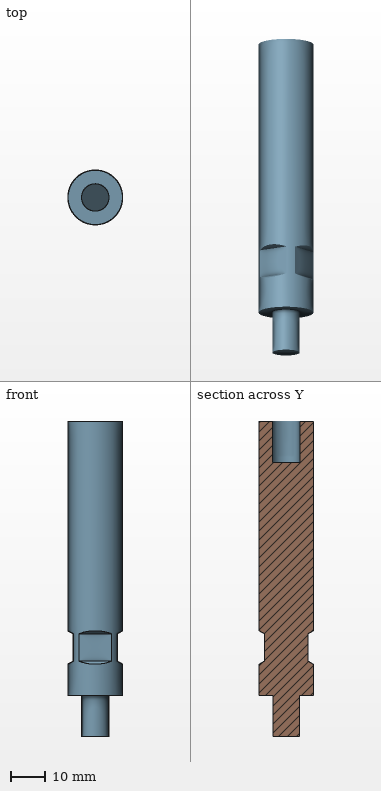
import cadquery as cq
import math

total_length = 92.0
body_diameter = 16.0
stud_diameter = 8.0
stud_length = 12.0
across_flats = 13.0
flat_height = 8.0
collar_height = 10.0
bevel_angle = 30.0

body_radius = body_diameter / 2
body_length = total_length - stud_length
bore_diameter = stud_diameter
bore_depth = stud_length
flat_offset = across_flats / 2
flat_bottom = stud_length + collar_height
flat_top = flat_bottom + flat_height


def make_stud():
    return cq.Workplane("XY").circle(stud_diameter / 2).extrude(stud_length)


def make_body():
    return (
        cq.Workplane("XY")
        .workplane(offset=stud_length)
        .circle(body_radius)
        .extrude(body_length)
        .faces(">Z")
        .workplane()
        .hole(bore_diameter, bore_depth)
    )


def make_flat_cutter():
    """Trapezoidal bar along Y that cuts one flat with sloped ends on the +X side."""
    outer_x = body_diameter
    bevel_rise = (outer_x - flat_offset) * math.tan(math.radians(bevel_angle))
    return (
        cq.Workplane("XZ")
        .moveTo(flat_offset, flat_bottom)
        .lineTo(outer_x, flat_bottom - bevel_rise)
        .lineTo(outer_x, flat_top + bevel_rise)
        .lineTo(flat_offset, flat_top)
        .close()
        .extrude(body_radius, both=True)
    )


result = make_body().union(make_stud())

flat_cutter = make_flat_cutter()
for angle in (0, 90, 180, 270):
    result = result.cut(flat_cutter.rotate((0, 0, 0), (0, 0, 1), angle))